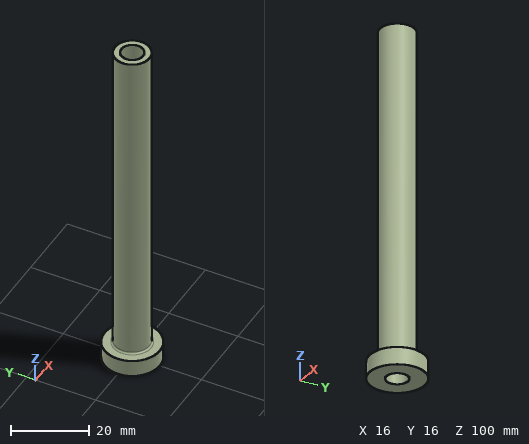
import cadquery as cq

total_length = 100.0
head_diameter = 16.0
head_height = 5.0
shank_diameter = 10.0
bore_diameter = 6.2
neck_fillet = 0.5

head = cq.Workplane("XY").circle(head_diameter / 2).extrude(head_height)

shank = cq.Workplane("XY").circle(shank_diameter / 2).extrude(total_length)

body = head.union(shank)
neck_edge = cq.selectors.RadiusNthSelector(0)
body = body.faces(cq.selectors.NearestToPointSelector((0, head_diameter / 2, head_height)))
body = body.edges(neck_edge).fillet(neck_fillet)

result = body.faces(">Z").workplane().hole(bore_diameter)